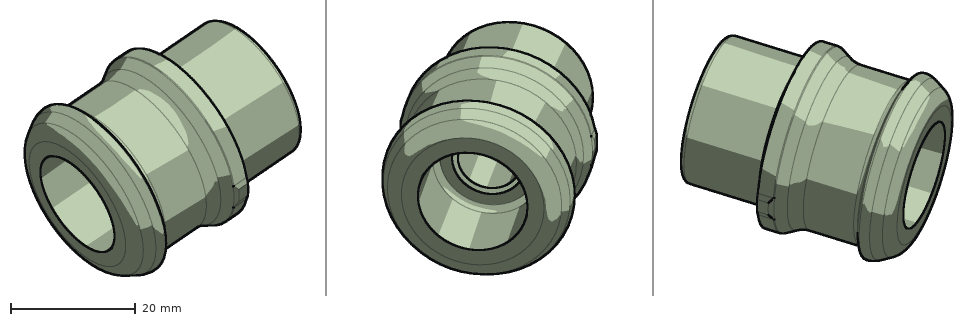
import cadquery as cq
import math

length = 37.5
flange_radius = 31.6 / 2
neck_radius = 28.0 / 2
spigot_radius = 25.0 / 2
undercut_radius = 12.1

rim_crest_y = 4.95
flange_front_y = 19.75
flange_back_y = 22.65
undercut_end_y = 23.02
spigot_start_y = 23.65

nose_round = 3.0
crest_round = 3.3
rim_edge_round = 0.38
rim_root_round = 0.95
flange_root_round = 5.02
spigot_end_round = 0.8
flange_edge_length = 0.2
flange_edge_angle = math.radians(13)
flange_edge_radius = flange_radius - flange_edge_length * math.tan(flange_edge_angle)
cone_angle = math.radians(30)
cone_front_y = nose_round * (1 - math.sin(cone_angle))
rim_back_angle = math.radians(65)

bore_radius = 18 / 2
bore_depth = 13.12
bore_floor_round = 1.0
through_radius = 10.3 / 2
through_chamfer_width = 0.82
through_chamfer_depth = 0.5

lug_height = 0.2
lug_base_half_width = 2.7
lug_top_half_width = 1.55
lug_ramp_end_y = 20.65


def turned(profile):
    """Revolve a closed (radius, y) profile about the Y axis."""
    return profile.close().revolve(360, (0, 0, 0), (0, 1, 0))


def add_arc(profile, center, radius, start_angle, end_angle, line_first=True):
    """Draw an arc, after a line to its start if wanted; angles run from +radius to +y."""
    def point(angle):
        return (center[0] + radius * math.cos(angle), center[1] + radius * math.sin(angle))

    middle_angle = (start_angle + end_angle) / 2
    if line_first:
        profile = profile.lineTo(*point(start_angle))
    return profile.threePointArc(point(middle_angle), point(end_angle))


def outer_body():
    crest_center = (flange_radius - crest_round, rim_crest_y)
    cone_back_radius = crest_center[0] + crest_round * math.cos(cone_angle)
    cone_back_y = rim_crest_y - crest_round * math.sin(cone_angle)
    cone_front_radius = cone_back_radius - (cone_back_y - cone_front_y) * math.tan(cone_angle)
    nose_center = (cone_front_radius - nose_round * math.cos(cone_angle), nose_round)

    edge_center = (flange_radius - rim_edge_round, rim_crest_y)
    wall_drop = (flange_radius - neck_radius
                 - (rim_edge_round + rim_root_round) * (1 - math.cos(rim_back_angle)))
    root_center_y = (rim_crest_y + wall_drop / math.tan(rim_back_angle)
                     + (rim_edge_round + rim_root_round) * math.sin(rim_back_angle))
    root_center = (neck_radius + rim_root_round, root_center_y)

    cone_rise = (flange_edge_radius - neck_radius
                 - flange_root_round * (1 - math.cos(cone_angle)))
    flange_root_y = (flange_front_y - cone_rise / math.tan(cone_angle)
                     - flange_root_round * math.sin(cone_angle))
    flange_root_center = (neck_radius + flange_root_round, flange_root_y)

    profile = cq.Workplane("XY").moveTo(0, 0)
    profile = add_arc(profile, nose_center, nose_round, -math.pi / 2, -cone_angle)
    profile = add_arc(profile, crest_center, crest_round, -cone_angle, 0)
    profile = add_arc(profile, edge_center, rim_edge_round, 0, rim_back_angle, line_first=False)
    profile = add_arc(profile, root_center, rim_root_round, math.pi + rim_back_angle, math.pi)
    profile = add_arc(profile, flange_root_center, flange_root_round, math.pi, math.pi - cone_angle)
    profile = (
        profile.lineTo(flange_edge_radius, flange_front_y)
        .lineTo(flange_radius, flange_front_y + flange_edge_length)
        .lineTo(flange_radius, flange_back_y)
        .lineTo(undercut_radius, flange_back_y)
        .lineTo(undercut_radius, undercut_end_y)
        .lineTo(spigot_radius, spigot_start_y)
    )
    spigot_end_center = (spigot_radius - spigot_end_round, length - spigot_end_round)
    profile = add_arc(profile, spigot_end_center, spigot_end_round, 0, math.pi / 2)
    return turned(profile.lineTo(0, length))


def stepped_bore():
    floor_round_center = (bore_radius - bore_floor_round, bore_depth - bore_floor_round)
    profile = cq.Workplane("XY").moveTo(0, 0).lineTo(bore_radius, 0)
    profile = add_arc(profile, floor_round_center, bore_floor_round, 0, math.pi / 2)
    return turned(
        profile.lineTo(through_radius + through_chamfer_width, bore_depth)
        .lineTo(through_radius, bore_depth + through_chamfer_depth)
        .lineTo(through_radius, length)
        .lineTo(0, length)
    )


def locating_lugs():
    """Low pads with sloping flanks, ramped down to the front of the flange."""
    lug_radius = flange_radius + lug_height
    base_x = math.sqrt(flange_radius**2 - lug_base_half_width**2)
    top_x = math.sqrt(lug_radius**2 - lug_top_half_width**2)
    width_section = (
        cq.Workplane("XZ", origin=(0, flange_front_y, 0))
        .moveTo(-base_x, lug_base_half_width)
        .lineTo(base_x, lug_base_half_width)
        .lineTo(top_x, lug_top_half_width)
        .threePointArc((lug_radius, 0), (top_x, -lug_top_half_width))
        .lineTo(base_x, -lug_base_half_width)
        .lineTo(-base_x, -lug_base_half_width)
        .lineTo(-top_x, -lug_top_half_width)
        .threePointArc((-lug_radius, 0), (-top_x, lug_top_half_width))
        .close()
        .extrude(flange_front_y - flange_back_y)
    )
    ramped_ring = turned(
        cq.Workplane("XY")
        .moveTo(neck_radius, flange_front_y)
        .lineTo(flange_edge_radius, flange_front_y)
        .lineTo(lug_radius, lug_ramp_end_y)
        .lineTo(lug_radius, flange_back_y)
        .lineTo(neck_radius, flange_back_y)
    )
    return width_section.intersect(ramped_ring)


result = outer_body().union(locating_lugs()).cut(stepped_bore())